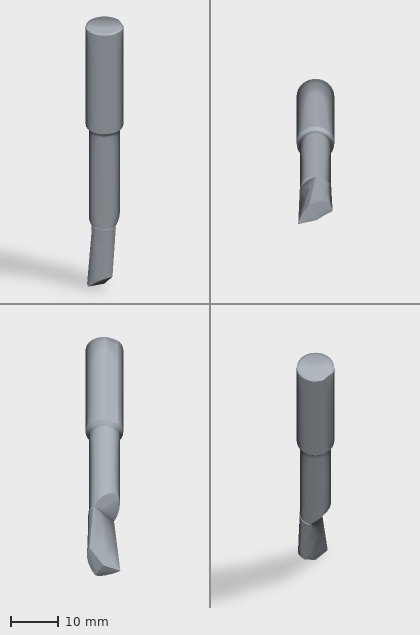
import cadquery as cq
import math

total_length = 63.5
shank_radius = 3.97
flat_offset = 3.715
shank_bottom = 38.1
top_chamfer_width = 0.5
top_chamfer_height = 0.22
shoulder_height = 0.95
neck_radius = 3.25

head_height = 15.25
root_edge = (-3.015, -1.6)
root_heel = (0.9, -3.25)
root_back = (3.2, 1.3)
tip_edge = (-3.75, -0.05)
tip_heel = (-0.5, -3.8)
tip_back = (3.8, 0)
root_relief_bulge = 0.03
tip_relief_bulge = 0.25
root_back_radius = 3.4
tip_back_radius = 3.84

runout_slope = 45
end_relief_angle = 5.6
corner_start = 0.1
cutter_size = 25.4


def arc_middle(start, end, bulge):
    """Point beside the chord middle, offset to the right of the start-end direction."""
    dx = end[0] - start[0]
    dy = end[1] - start[1]
    chord = math.hypot(dx, dy)
    return (
        (start[0] + end[0]) / 2 + bulge * dy / chord,
        (start[1] + end[1]) / 2 - bulge * dx / chord,
    )


def head_section(z, edge, heel, back, relief_bulge, back_radius):
    """Relief arc, round back and straight rake side of the head at height z."""
    back_angle = math.atan2(heel[1] + back[1], heel[0] + back[0])
    back_middle = (back_radius * math.cos(back_angle), back_radius * math.sin(back_angle))
    section = (
        cq.Workplane("XY")
        .workplane(offset=z)
        .moveTo(*edge)
        .threePointArc(arc_middle(edge, heel, relief_bulge), heel)
        .threePointArc(back_middle, back)
        .close()
    )
    return section.val()


def runout_cutter(start, end):
    """Block below the sloping plane that rises outwards from a head side at its root."""
    dx = end[0] - start[0]
    dy = end[1] - start[1]
    chord = math.hypot(dx, dy)
    outward = (dy / chord, -dx / chord)
    slope = math.radians(runout_slope)
    normal = (
        outward[0] * math.sin(slope),
        outward[1] * math.sin(slope),
        -math.cos(slope),
    )
    plane = cq.Plane(origin=(start[0], start[1], head_height), xDir=(dx, dy, 0), normal=normal)
    return cq.Workplane(plane).rect(cutter_size, cutter_size).extrude(cutter_size)


def make_shank():
    shank = (
        cq.Workplane("XZ")
        .moveTo(0, shank_bottom)
        .lineTo(neck_radius, shank_bottom)
        .lineTo(shank_radius, shank_bottom + shoulder_height)
        .lineTo(shank_radius, total_length - top_chamfer_height)
        .lineTo(shank_radius - top_chamfer_width, total_length)
        .lineTo(0, total_length)
        .close()
        .revolve(360, (0, 0), (0, 1))
    )
    flat_cutter = (
        cq.Workplane("XY")
        .box(cutter_size, cutter_size, total_length, centered=(True, False, False))
        .translate((0, flat_offset, shank_bottom))
    )
    return shank.cut(flat_cutter)


def make_neck():
    neck = (
        cq.Workplane("XY")
        .workplane(offset=head_height)
        .circle(neck_radius)
        .extrude(shank_bottom - head_height)
    )
    rake_runout = runout_cutter(root_back, root_edge)
    relief_runout = runout_cutter(root_edge, root_heel)
    return neck.cut(rake_runout).cut(relief_runout)


def make_head():
    root = head_section(
        head_height, root_edge, root_heel, root_back, root_relief_bulge, root_back_radius
    )
    tip = head_section(0, tip_edge, tip_heel, tip_back, tip_relief_bulge, tip_back_radius)
    head = cq.Workplane(cq.Solid.makeLoft([tip.copy(), root.copy()], True))
    end_cutter = (
        cq.Workplane("XY")
        .box(cutter_size, cutter_size, cutter_size, centered=(True, True, False))
        .translate((0, 0, -cutter_size))
        .rotate((0, 0, 0), (1, 0, 0), -end_relief_angle)
    )
    corner_cutter = (
        cq.Workplane("XZ")
        .moveTo(corner_start, 0)
        .lineTo(corner_start + head_height, 0)
        .lineTo(corner_start + head_height, head_height)
        .close()
        .extrude(cutter_size / 2, both=True)
    )
    return head.cut(end_cutter).cut(corner_cutter)


result = make_shank().union(make_neck()).union(make_head())